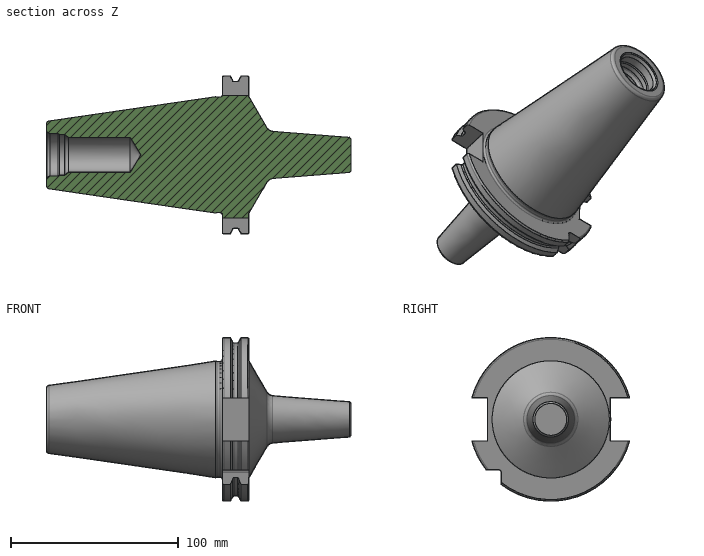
import cadquery as cq
import math


gauge_radius = 69.85 / 2
shank_length = 101.6
taper_ratio = 7 / 48
shank_end_radius = gauge_radius - shank_length * taper_ratio
shank_end_fillet = 2.0

taper_end = -0.9
taper_end_radius = gauge_radius + taper_end * taper_ratio
relief_start = 0.2
relief_radius = 34.55
relief_fillet = 1.2

flange_radius = 97.5 / 2
flange_start = 3.2
flange_width = 15.9
flange_end = flange_start + flange_width
rim_fillet = 1.0
groove_center = 11.2
groove_depth = 3.1
groove_mouth_width = 6.4
groove_floor_width = 3.75
groove_wall_angle = 30.0
groove_fillet = 0.75

slot_width = 25.7
slot_floor_front = 37.7
slot_floor_back = 35.5
notch_y = 29.6
notch_z = 30.0
notch_fillet = 1.6

nose_end = 80.0
cone_angle = 60.0
nose_angle = 4.5
nose_tip_radius = 10.5
nose_tip_chamfer = 1.0
nose_fillet = 4.0

mouth_radius = 14.3
center_cone_radius = 13.5
center_cone_start = 0.4
pilot_radius = 12.5
pilot_start = 2.3
pilot_end = 7.0
relief_bore_radius = 12.1
relief_bore_start = 7.9
relief_bore_end = 10.8
thread_chamfer_radius = 11.6
thread_chamfer_start = 11.5
thread_radius = 10.3
thread_start = 13.2
thread_depth = 50.0
drill_point_angle = 59.0


def revolve_profile(points):
    """Turn a closed (x, radius) profile about the X axis."""
    return cq.Workplane("XY").polyline(points).close().revolve(360, (0, 0, 0), (1, 0, 0))


def edges_at(x, radius):
    """Selector for the circular edge of the given radius centred on the axis at x."""
    slack = 0.05
    near_corner = (x - slack, -radius - slack, -radius - slack)
    far_corner = (x + slack, radius + slack, radius + slack)
    return cq.selectors.BoxSelector(near_corner, far_corner, boundingbox=True)


def make_shank():
    shank = revolve_profile([
        (-shank_length, 0),
        (-shank_length, shank_end_radius),
        (taper_end, taper_end_radius),
        (relief_start, relief_radius),
        (flange_start, relief_radius),
        (flange_start, 0),
    ])
    return shank.faces("<X").edges().fillet(shank_end_fillet)


def make_flange():
    blank = (
        cq.Workplane("YZ", origin=(flange_start, 0, 0))
        .circle(flange_radius)
        .extrude(flange_width)
        .edges()
        .fillet(rim_fillet)
    )
    floor_radius = flange_radius - groove_depth
    floor_half = groove_floor_width / 2
    mouth_half = groove_mouth_width / 2
    slope_depth = (mouth_half - floor_half) / math.tan(math.radians(groove_wall_angle))
    slope_end_radius = flange_radius - slope_depth
    groove = revolve_profile([
        (groove_center - floor_half, floor_radius),
        (groove_center + floor_half, floor_radius),
        (groove_center + floor_half, slope_end_radius),
        (groove_center + mouth_half, flange_radius),
        (groove_center - mouth_half, flange_radius),
        (groove_center - floor_half, slope_end_radius),
    ])
    for x in (groove_center - floor_half, groove_center + floor_half):
        groove = groove.edges(edges_at(x, floor_radius)).fillet(groove_fillet)
    return blank.cut(groove)


def flange_cutter(y_min, y_max, z_min, z_max):
    """Block spanning the flange width, used to open slots in the rim."""
    return (
        cq.Workplane("XY", origin=(flange_start, y_min, z_min))
        .box(flange_width, y_max - y_min, z_max - z_min, centered=False)
    )


def cut_slots(body):
    half = slot_width / 2
    front_slot = flange_cutter(-flange_radius, -slot_floor_front, -half, half)
    back_slot = flange_cutter(slot_floor_back, flange_radius, -half, half)
    notch = flange_cutter(-flange_radius, -notch_y, -flange_radius, -notch_z)
    notch = notch.edges("|X and >Y and >Z").fillet(notch_fillet)
    return body.cut(front_slot).cut(back_slot).cut(notch)


def make_shank_and_flange():
    """Join shank and flange, blend the relief into the flange face, then open the rim."""
    joined = make_shank().union(make_flange())
    joined = joined.edges(edges_at(flange_start, relief_radius)).fillet(relief_fillet)
    return cut_slots(joined)


def make_nose():
    cone_slope = math.tan(math.radians(cone_angle))
    nose_slope = math.tan(math.radians(nose_angle))
    radius_gap = gauge_radius - (nose_tip_radius + nose_slope * (nose_end - flange_end))
    root_x = flange_end + radius_gap / (cone_slope - nose_slope)
    root_radius = nose_tip_radius + nose_slope * (nose_end - root_x)
    nose = revolve_profile([
        (flange_end, 0),
        (flange_end, gauge_radius),
        (root_x, root_radius),
        (nose_end, nose_tip_radius),
        (nose_end, 0),
    ])
    nose = nose.edges(edges_at(root_x, root_radius)).fillet(nose_fillet)
    return nose.faces(">X").edges().chamfer(nose_tip_chamfer)


def make_bore():
    drill_tip = thread_depth + thread_radius / math.tan(math.radians(drill_point_angle))
    stations = [
        (0, 0),
        (0, mouth_radius),
        (center_cone_start, center_cone_radius),
        (pilot_start, pilot_radius),
        (pilot_end, pilot_radius),
        (relief_bore_start, relief_bore_radius),
        (relief_bore_end, relief_bore_radius),
        (thread_chamfer_start, thread_chamfer_radius),
        (thread_start, thread_radius),
        (thread_depth, thread_radius),
        (drill_tip, 0),
    ]
    return revolve_profile([(depth - shank_length, radius) for depth, radius in stations])


result = make_shank_and_flange().union(make_nose()).cut(make_bore())